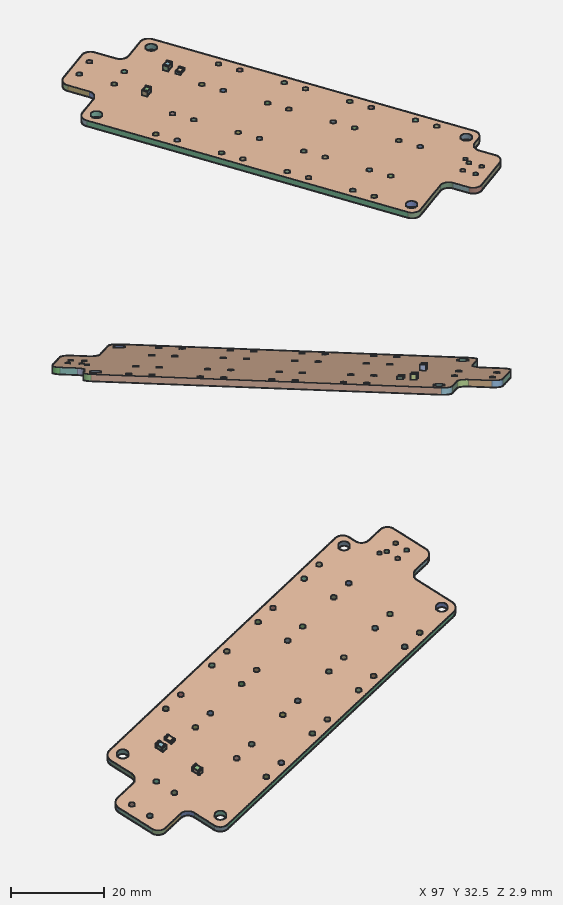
import cadquery as cq

BOARD_LENGTH = 97.0
BOARD_WIDTH = 32.5
BOARD_THICKNESS = 1.6
LEFT_TAB_LENGTH = 9.1
LEFT_TAB_WIDTH = 13.2
RIGHT_TAB_LENGTH = 7.9
RIGHT_TAB_WIDTH = 12.9
RIGHT_TAB_CENTER_Y = 3.9
CORNER_RADIUS = 2.0

LEFT_X = -BOARD_LENGTH / 2
RIGHT_X = BOARD_LENGTH / 2
PLATE_LEFT_X = LEFT_X + LEFT_TAB_LENGTH
PLATE_RIGHT_X = RIGHT_X - RIGHT_TAB_LENGTH

MOUNT_DIAMETER = 2.5
MOUNT_SPACING_X = 74.5
MOUNT_SPACING_Y = 26.9
MOUNT_CENTER = (0.9, 0)

TERMINAL_DIAMETER = 1.3
TERMINAL_SPACING_X = 5.0
TERMINAL_SPACING_Y = 8.15
GROUP_COUNT = 4
GROUP_PITCH = 15.5
UPPER_FIRST_X = -18.3
LOWER_FIRST_X = -19.4
GROUP_OFFSET_Y = 10.2

LEFT_HOLE_DIAMETER = 1.3
LEFT_HOLE_INSET = 2.5
LEFT_HOLE_SPACING_X = 8.2
LEFT_HOLE_SPACING_Y = 4.9
LEFT_HOLE_CENTER_Y = 0.6

RIGHT_HOLE_DIAMETER = 1.1
RIGHT_HOLE_SPACING = 3.0
RIGHT_HOLE_CENTER = (44.1, 3.9)
EXTRA_HOLE_DIAMETER = 1.0
EXTRA_HOLE_CENTER = (41.3, 6.3)

CHIP_LENGTH = 2.0
CHIP_WIDTH = 1.3
CHIP_TERMINAL_LENGTH = 0.4
CHIP_STEP = 0.05
CAPACITOR_HEIGHT = 1.3
RESISTOR_HEIGHT = 0.6
CAPACITOR_CENTERS = [(-30.0, 8.15), (-30.1, -1.9)]
RESISTOR_CENTER = (-27.1, 8.15)


def rectangle_of_points(center, spacing_x, spacing_y):
    """The four corners of a rectangle around a centre point."""
    x, y = center
    return [
        (x + side_x * spacing_x / 2, y + side_y * spacing_y / 2)
        for side_x in (-1, 1)
        for side_y in (-1, 1)
    ]


def slab(x_min, x_max, width, center_y=0):
    """A plain block of board thickness between two X positions."""
    return (
        cq.Workplane("XY")
        .center((x_min + x_max) / 2, center_y)
        .rect(x_max - x_min, width)
        .extrude(BOARD_THICKNESS)
    )


def drill(body, points, diameter):
    """Cut through holes at the given points."""
    holes = cq.Workplane("XY").pushPoints(points).circle(diameter / 2).extrude(BOARD_THICKNESS)
    return body.cut(holes)


def terminal_points():
    """Holes of the upper and lower rows of groups."""
    points = []
    for first_x, center_y in ((UPPER_FIRST_X, GROUP_OFFSET_Y), (LOWER_FIRST_X, -GROUP_OFFSET_Y)):
        for index in range(GROUP_COUNT):
            center = (first_x + index * GROUP_PITCH, center_y)
            points += rectangle_of_points(center, TERMINAL_SPACING_X, TERMINAL_SPACING_Y)
    return points


def make_board():
    plate = slab(PLATE_LEFT_X, PLATE_RIGHT_X, BOARD_WIDTH)
    left_tab = slab(LEFT_X, PLATE_LEFT_X, LEFT_TAB_WIDTH)
    right_tab = slab(PLATE_RIGHT_X, RIGHT_X, RIGHT_TAB_WIDTH, RIGHT_TAB_CENTER_Y)
    body = plate.union(left_tab).union(right_tab)
    body = body.edges("|Z").fillet(CORNER_RADIUS)

    mount_points = rectangle_of_points(MOUNT_CENTER, MOUNT_SPACING_X, MOUNT_SPACING_Y)
    body = drill(body, mount_points, MOUNT_DIAMETER)

    body = drill(body, terminal_points(), TERMINAL_DIAMETER)

    left_center = (LEFT_X + LEFT_HOLE_INSET + LEFT_HOLE_SPACING_X / 2, LEFT_HOLE_CENTER_Y)
    left_points = rectangle_of_points(left_center, LEFT_HOLE_SPACING_X, LEFT_HOLE_SPACING_Y)
    body = drill(body, left_points, LEFT_HOLE_DIAMETER)

    right_points = rectangle_of_points(RIGHT_HOLE_CENTER, RIGHT_HOLE_SPACING, RIGHT_HOLE_SPACING)
    body = drill(body, right_points, RIGHT_HOLE_DIAMETER)
    return drill(body, [EXTRA_HOLE_CENTER], EXTRA_HOLE_DIAMETER)


def make_chip(center, height):
    """A chip part lying along Y, with a raised terminal at each end."""
    base = cq.Workplane("XY", origin=(center[0], center[1], BOARD_THICKNESS))
    middle_width = CHIP_WIDTH - 2 * CHIP_STEP
    middle_length = CHIP_LENGTH - 2 * CHIP_TERMINAL_LENGTH
    middle = base.rect(middle_width, middle_length).extrude(height - CHIP_STEP)
    terminal_offset = (CHIP_LENGTH - CHIP_TERMINAL_LENGTH) / 2
    terminals = (
        base.pushPoints([(0, -terminal_offset), (0, terminal_offset)])
        .rect(CHIP_WIDTH, CHIP_TERMINAL_LENGTH)
        .extrude(height)
    )
    return middle.union(terminals)


board = make_board()
capacitors = [make_chip(center, CAPACITOR_HEIGHT) for center in CAPACITOR_CENTERS]
resistor = make_chip(RESISTOR_CENTER, RESISTOR_HEIGHT)

result = cq.Compound.makeCompound(
    [board.val(), *[capacitor.val() for capacitor in capacitors], resistor.val()]
)